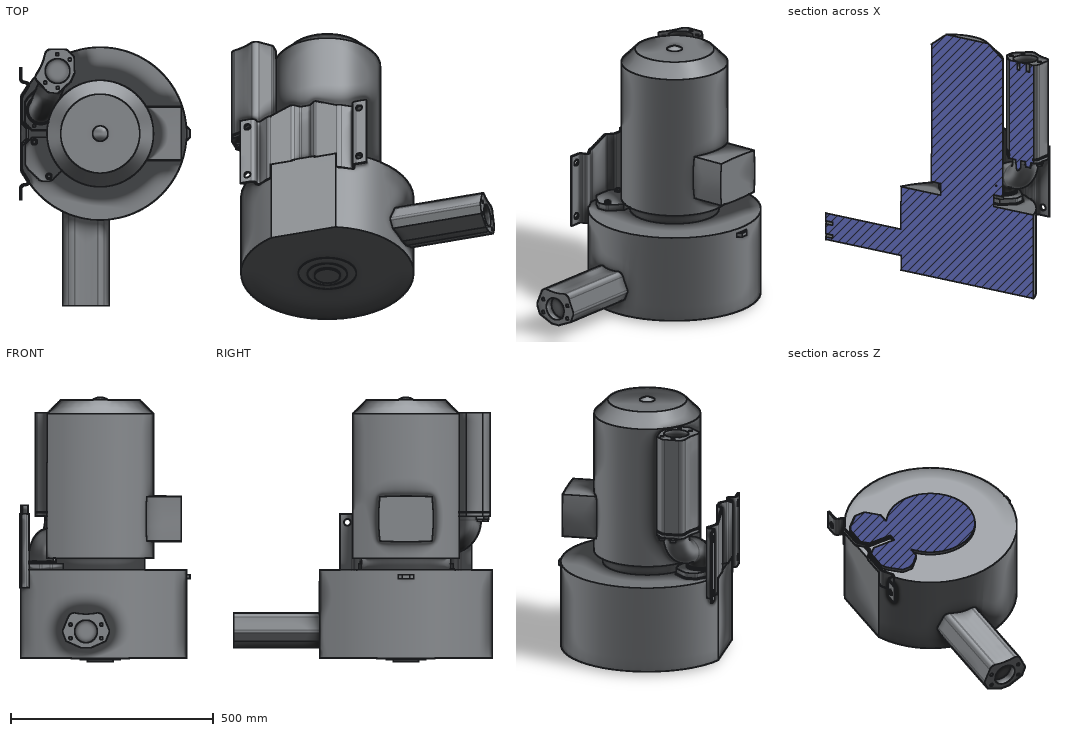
import cadquery as cq
import math

DRUM_RADIUS = 213.3
DRUM_HEIGHT = 217.5
DRUM_FLAT_X = -196.2
FOOT_DISCS = [(71.5, -2.0), (49.0, -4.5), (31.5, -9.3)]

NECK_RADIUS = 110.0
MOTOR_RADIUS = 131.5
MOTOR_BOTTOM_Z = 246.4
SHOULDER_Z = 603.0
MOTOR_TOP_Z = 637.0
MOTOR_TOP_RADIUS = 97.5
CAP_RADIUS = 19.0
CAP_HEIGHT = 6.65

BOX_END_X = 200.4
BOX_CENTER_Z = 343.5
BOX_HALF_WIDTH = 64.5
BOX_HALF_HEIGHT = 54.5
BOX_SIDE_BULGE = 3.0
BOX_TOP_BULGE = 2.0

LUG_Z = 201.0
LUG_THICKNESS = 10.0
LUG_ROOT_HALF_WIDTH = 30.0
LUG_ROOT_X = 202.0
LUG_TIP_HALF_WIDTH = 9.0
LUG_TIP_X = 221.8

TUBE_TOP = 45.5
TUBE_TOP_HALF = 39.5
TUBE_TIP_HALF = 58.5
TUBE_SHOULDER = (49.0, -24.0)
TUBE_BOTTOM = (11.0, -41.0)
RECESS_HALF = 27.5
RECESS_DEPTH = 3.0
TUBE_TOP_ROUND = 15.5
TUBE_TIP_ROUND = 10.0
TUBE_HOLE_OFFSET = (38.0, 16.7)
TUBE_HOLE_RADIUS = 4.0
TUBE_HOLE_DEPTH = 20.0
TUBE_BORE_DEPTH = 20.0

OUTLET_X = -35.2
OUTLET_Z = 66.0
OUTLET_END_Y = -425.13
OUTLET_START_Y = -150.0
OUTLET_BORE_RADIUS = 28.0

INLET_X = -105.4
INLET_Y = 154.3
INLET_ANGLE = 67.0
INLET_BORE_RADIUS = 30.5
INLET_TOP_Z = 605.5
INLET_BOTTOM_Z = 361.5
INLET_FLANGE_TOP_Z = 358.5
INLET_FLANGE_BOTTOM_Z = 350.0
GASKET_INSET = 1.5

PIPE_RADIUS = 31.5
PIPE_BEND_RADIUS = 52.5
PIPE_LOWER_STRAIGHT = 19.0
COLLAR_STEPS = [(35.5, 3.5), (33.5, 6.0)]
FLANGE_BOLT_RADIUS = 9.0
FLANGE_BOLT_HEIGHT = 7.0
FLANGE_STUD_RADIUS = 7.0
FLANGE_STUD_HEIGHT = 13.0

PLATE_THICKNESS = 15.5
PLATE_OUTLINE = [
    (-168.0, -9.0), (-107.0, -9.0), (-91.0, -26.0), (-91.0, -87.0), (-120.5, -117.0),
    (-147.5, -117.0), (-177.0, -89.0), (-185.0, -76.0), (-185.0, -26.0),
]
PLATE_CORNER_RADIUS = 9.0
SEAT_MARGIN = 1.8
SEAT_THICKNESS = 3.0
PLATE_BOLTS = [(-162.5, -20.5), (-126.5, -105.5)]
PLATE_BOLT_RADIUS = 7.5
PLATE_BOLT_HEIGHT = 7.0
PLATE_BOLT_CHAMFER = 3.0
ELBOW_BOLT = (-163.0, 19.0)
ELBOW_BOLT_RADIUS = 3.5

SHEET = 4.5
BEND_RADIUS = 9.0
WING_BEND_RADIUS = 6.0
WEB_BEND_RADIUS = 20.0
FLANGE_FACE_X = -198.32
FLANGE_MID_X = FLANGE_FACE_X + SHEET / 2
WEB_STANDOFF = 0.5
WEB_MID_X = DRUM_FLAT_X - WEB_STANDOFF + SHEET / 2
BRACKET_HALF_WIDTH = 162.8
BRACKET_TOP_Z = 355.5
BRACKET_PEAK_Z = 377.5
BRACKET_PEAK_HALF = 32.0
BRACKET_BOTTOM_Z = 174.0
WEB_BOTTOM_Z = 214.5
WEB_HALF_WIDTH = 85.0
WING_CHAMFER = 4.0
BRACKET_HALF_PATH = [
    (FLANGE_MID_X, BRACKET_HALF_WIDTH, 0),
    (FLANGE_MID_X, 128.0, BEND_RADIUS),
    (-173.5, 124.0, WING_BEND_RADIUS),
    (WEB_MID_X, 91.0, WEB_BEND_RADIUS),
    (WEB_MID_X, 29.0, BEND_RADIUS),
    (-180.0, 13.0, BEND_RADIUS),
]
BRACKET_HOLE_Y = 144.5
BRACKET_HOLE_Z = (195.0, 335.0)
BRACKET_HOLE_RADIUS = 8.0


def cylinder(x, y, bottom_z, radius, height):
    return cq.Workplane("XY", origin=(x, y, bottom_z)).circle(radius).extrude(height)


def make_drum():
    drum = cylinder(0, 0, 0, DRUM_RADIUS, DRUM_HEIGHT)
    beyond_flat = cq.Workplane("XY").box(
        DRUM_RADIUS, 2 * DRUM_RADIUS, DRUM_HEIGHT, centered=(False, True, False)
    ).translate((DRUM_FLAT_X - DRUM_RADIUS, 0, 0))
    drum = drum.cut(beyond_flat)
    for radius, bottom_z in FOOT_DISCS:
        drum = drum.union(cylinder(0, 0, bottom_z, radius, -bottom_z))
    return drum


def make_motor():
    return (
        cq.Workplane("XZ")
        .moveTo(0, DRUM_HEIGHT)
        .lineTo(NECK_RADIUS, DRUM_HEIGHT)
        .lineTo(NECK_RADIUS, MOTOR_BOTTOM_Z)
        .lineTo(MOTOR_RADIUS, MOTOR_BOTTOM_Z)
        .lineTo(MOTOR_RADIUS, SHOULDER_Z)
        .lineTo(MOTOR_TOP_RADIUS, MOTOR_TOP_Z)
        .lineTo(CAP_RADIUS, MOTOR_TOP_Z)
        .sagittaArc((0, MOTOR_TOP_Z + CAP_HEIGHT), cap_sagitta())
        .close()
        .revolve(360, (0, 0, 0), (0, 1, 0))
    )


def cap_sagitta():
    """Sagitta of half the profile of the spherical cap on the motor top."""
    sphere_radius = (CAP_RADIUS ** 2 + CAP_HEIGHT ** 2) / (2 * CAP_HEIGHT)
    half_chord = math.hypot(CAP_RADIUS, CAP_HEIGHT) / 2
    return math.sqrt(sphere_radius ** 2 - half_chord ** 2) - sphere_radius


def make_terminal_box():
    """Box whose four long sides bulge slightly outward."""
    w = BOX_HALF_WIDTH
    h = BOX_HALF_HEIGHT
    return (
        cq.Workplane("YZ", origin=(0, 0, BOX_CENTER_Z))
        .moveTo(-w, -h)
        .threePointArc((0, -h - BOX_TOP_BULGE), (w, -h))
        .threePointArc((w + BOX_SIDE_BULGE, 0), (w, h))
        .threePointArc((0, h + BOX_TOP_BULGE), (-w, h))
        .threePointArc((-w - BOX_SIDE_BULGE, 0), (-w, -h))
        .close()
        .extrude(BOX_END_X)
    )


def make_lug():
    return (
        cq.Workplane("XY", origin=(0, 0, LUG_Z - LUG_THICKNESS / 2))
        .polyline([
            (LUG_ROOT_X, -LUG_ROOT_HALF_WIDTH),
            (LUG_TIP_X, -LUG_TIP_HALF_WIDTH),
            (LUG_TIP_X, LUG_TIP_HALF_WIDTH),
            (LUG_ROOT_X, LUG_ROOT_HALF_WIDTH),
        ])
        .close()
        .extrude(LUG_THICKNESS)
    )


def tube_blank(plane, length):
    """Six-sided section with a shallow recess in its long side, extruded from the end face."""
    shoulder_x, shoulder_y = TUBE_SHOULDER
    bottom_x, bottom_y = TUBE_BOTTOM
    blank = (
        cq.Workplane(plane)
        .moveTo(RECESS_HALF, TUBE_TOP)
        .lineTo(TUBE_TOP_HALF, TUBE_TOP)
        .lineTo(TUBE_TIP_HALF, 0)
        .lineTo(shoulder_x, shoulder_y)
        .lineTo(bottom_x, bottom_y)
        .lineTo(-bottom_x, bottom_y)
        .lineTo(-shoulder_x, shoulder_y)
        .lineTo(-TUBE_TIP_HALF, 0)
        .lineTo(-TUBE_TOP_HALF, TUBE_TOP)
        .lineTo(-RECESS_HALF, TUBE_TOP)
        .threePointArc((0, TUBE_TOP - RECESS_DEPTH), (RECESS_HALF, TUBE_TOP))
        .close()
        .extrude(-length)
    )
    for x, y, radius in (
        (TUBE_TOP_HALF, TUBE_TOP, TUBE_TOP_ROUND),
        (TUBE_TIP_HALF, 0, TUBE_TIP_ROUND),
    ):
        for side in (-1, 1):
            corner = plane.toWorldCoords((side * x, y, -length / 2))
            blank = blank.edges(cq.NearestToPointSelector(corner.toTuple())).fillet(radius)
    return blank


def make_tube(plane, length, bore_radius):
    hole_x, hole_y = TUBE_HOLE_OFFSET
    bore = cq.Workplane(plane).circle(bore_radius).extrude(-TUBE_BORE_DEPTH)
    holes = (
        cq.Workplane(plane)
        .rect(2 * hole_x, 2 * hole_y, forConstruction=True)
        .vertices()
        .circle(TUBE_HOLE_RADIUS)
        .extrude(-TUBE_HOLE_DEPTH)
    )
    return tube_blank(plane, length).cut(bore).cut(holes)


def make_outlet():
    end_face = cq.Plane((OUTLET_X, OUTLET_END_Y, OUTLET_Z), xDir=(1, 0, 0), normal=(0, -1, 0))
    return make_tube(end_face, OUTLET_START_Y - OUTLET_END_Y, OUTLET_BORE_RADIUS)


def inlet_plane(z):
    angle = math.radians(INLET_ANGLE)
    return cq.Plane((INLET_X, INLET_Y, z), xDir=(math.cos(angle), math.sin(angle), 0), normal=(0, 0, 1))


def make_inlet():
    tube = make_tube(inlet_plane(INLET_TOP_Z), INLET_TOP_Z - INLET_BOTTOM_Z, INLET_BORE_RADIUS)
    flange = tube_blank(inlet_plane(INLET_FLANGE_TOP_Z), INLET_FLANGE_TOP_Z - INLET_FLANGE_BOTTOM_Z)
    gasket = (
        flange.faces(">Z")
        .wires()
        .toPending()
        .offset2D(-GASKET_INSET)
        .extrude(INLET_BOTTOM_Z - INLET_FLANGE_TOP_Z)
    )
    hole_x, hole_y = TUBE_HOLE_OFFSET
    bolts = cq.Workplane(inlet_plane(INLET_FLANGE_BOTTOM_Z)).pushPoints([(hole_x, -hole_y), (hole_x, hole_y)])
    heads = bolts.circle(FLANGE_BOLT_RADIUS).extrude(-FLANGE_BOLT_HEIGHT)
    studs = bolts.circle(FLANGE_STUD_RADIUS).extrude(-FLANGE_STUD_HEIGHT)
    return tube.union(gasket).union(flange).union(heads).union(studs)


def make_elbow():
    """S-shaped pipe of two quarter bends rising from the drum to the inlet tube."""
    radius = PIPE_BEND_RADIUS
    reach = 2 * radius
    straight = PIPE_LOWER_STRAIGHT
    rise = INLET_FLANGE_BOTTOM_Z - DRUM_HEIGHT
    plan = inlet_plane(DRUM_HEIGHT)
    foot = plan.toWorldCoords((-reach, 0, 0))
    side_plane = cq.Plane(foot, xDir=plan.xDir, normal=-plan.yDir)
    path = (
        cq.Workplane(side_plane)
        .moveTo(0, 0)
        .lineTo(0, straight)
        .tangentArcPoint((radius, straight + radius), relative=False)
        .tangentArcPoint((reach, straight + reach), relative=False)
        .lineTo(reach, rise)
    )
    pipe = cq.Workplane("XY", origin=foot.toTuple()).circle(PIPE_RADIUS).sweep(path)
    for step_radius, height in COLLAR_STEPS:
        step = cylinder(foot.x, foot.y, DRUM_HEIGHT, step_radius, PLATE_THICKNESS + height)
        pipe = pipe.union(step)
    return pipe


def make_port_plates():
    plate_base = cq.Workplane("XY", origin=(0, 0, DRUM_HEIGHT))
    plate = plate_base.polyline(PLATE_OUTLINE).close().extrude(PLATE_THICKNESS)
    plate = plate.edges("|Z and <Y").fillet(PLATE_CORNER_RADIUS)
    elbow_seat = (
        plate_base.polyline(PLATE_OUTLINE)
        .close()
        .offset2D(SEAT_MARGIN, "intersection")
        .extrude(SEAT_THICKNESS)
        .mirror("XZ")
    )
    plates = plate.union(plate.mirror("XZ")).union(elbow_seat)
    plate_top = DRUM_HEIGHT + PLATE_THICKNESS
    for x, y in PLATE_BOLTS:
        head = cylinder(x, y, plate_top, PLATE_BOLT_RADIUS, PLATE_BOLT_HEIGHT)
        plates = plates.union(head.faces(">Z").edges().chamfer(PLATE_BOLT_CHAMFER))
    plates = plates.union(cylinder(*ELBOW_BOLT, plate_top, ELBOW_BOLT_RADIUS, PLATE_BOLT_HEIGHT))
    return plates


def make_sheet(path, bottom_z, height):
    """Sheet of constant thickness along a plan path of straight runs joined by rounded bends."""
    points = [cq.Vector(x, y) for x, y, _ in path]
    runs = [(end - start).normalized() for start, end in zip(points, points[1:])]
    left_side = []
    right_side = []
    bends = []
    for i, point in enumerate(points):
        before = runs[max(i - 1, 0)]
        after = runs[min(i, len(runs) - 1)]
        along = (before + after).normalized()
        offset = cq.Vector(-along.y, along.x) * (SHEET / 2 / along.dot(before))
        left_side.append(point + offset)
        right_side.append(point - offset)
        if 0 < i < len(points) - 1:
            radius = path[i][2]
            radius_step = math.copysign(SHEET / 2, before.cross(after).z)
            bends.append((point + offset, radius - radius_step))
            bends.append((point - offset, radius + radius_step))
    outline = [corner.toTuple()[:2] for corner in left_side + right_side[::-1]]
    sheet = cq.Workplane("XY", origin=(0, 0, bottom_z)).polyline(outline).close().extrude(height)
    for corner, radius in bends:
        nearest = cq.NearestToPointSelector((corner.x, corner.y, bottom_z + height / 2))
        sheet = sheet.edges("|Z").edges(nearest).fillet(radius)
    return sheet


def make_bracket():
    mirrored = [(x, -y, radius) for x, y, radius in reversed(BRACKET_HALF_PATH)]
    height = BRACKET_PEAK_Z - BRACKET_BOTTOM_Z
    sheet = make_sheet(BRACKET_HALF_PATH + mirrored, BRACKET_BOTTOM_Z, height)
    half_outline = [
        (WEB_HALF_WIDTH, WEB_BOTTOM_Z),
        (WEB_HALF_WIDTH, BRACKET_BOTTOM_Z + WING_CHAMFER),
        (WEB_HALF_WIDTH + WING_CHAMFER, BRACKET_BOTTOM_Z),
        (BRACKET_HALF_WIDTH, BRACKET_BOTTOM_Z),
        (BRACKET_HALF_WIDTH, BRACKET_TOP_Z),
        (WEB_HALF_WIDTH, BRACKET_TOP_Z),
        (BRACKET_PEAK_HALF, BRACKET_PEAK_Z),
    ]
    outline = half_outline + [(-y, z) for y, z in reversed(half_outline)]
    face = cq.Workplane("YZ").polyline(outline).close().extrude(FLANGE_FACE_X - SHEET)
    bracket = sheet.intersect(face)
    for z in BRACKET_HOLE_Z:
        hole = (
            cq.Workplane("YZ", origin=(FLANGE_FACE_X, 0, z))
            .pushPoints([(-BRACKET_HOLE_Y, 0), (BRACKET_HOLE_Y, 0)])
            .circle(BRACKET_HOLE_RADIUS)
            .extrude(SHEET)
        )
        bracket = bracket.cut(hole)
    return bracket


result = make_drum()
for feature in (
    make_motor(),
    make_terminal_box(),
    make_lug(),
    make_outlet(),
    make_port_plates(),
    make_elbow(),
    make_inlet(),
    make_bracket(),
):
    result = result.union(feature)